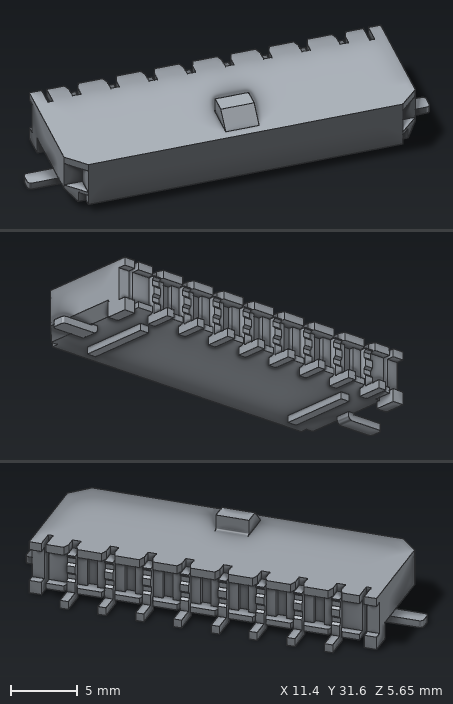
import cadquery as cq


HOUSING_DEPTH = 9.95
HOUSING_HALF_LENGTH = 13.83
HOUSING_BOTTOM = 0.65
HOUSING_TOP = 4.4
CORNER_CHAMFER = 1.45
SIDE_BEVEL = 0.82
CORNER_STEP_LENGTH = 0.6
CORNER_STEP_TOP = 1.52
CORNER_NOTCH_BOTTOM = 1.8
CORNER_NOTCH_TOP = 3.8

FOOT_DEPTH = 1.9
FOOT_BOTTOM = 0.1
FOOT_WIDTH = 0.98

LEDGE_TOP = 1.15
LIP_BOTTOM = 3.75
RECESS_DEPTH = 0.65
GROOVE_DEPTH = 0.38
GROOVE_WIDTH = 0.82

SLOT_WIDTH = 0.38
SLOT_DEPTH = 1.55
SLOT_POCKET_DEPTH = 0.15
SLOT_POCKET_BOTTOM = 2.8
SLOT_POCKET_TOP = 3.5

PIN_COUNT = 8
PIN_PITCH = 3.0
PIN_WIDTH = 0.65
PIN_REAR = 0.1
PIN_FRONT = 1.35
TAIL_TIP = -1.42
TAIL_FRONT = 0.75
TAIL_THICKNESS = 0.65
PIN_NOTCH_DEPTH = 0.2
PIN_NOTCH_RAMP = 0.2
UPPER_NOTCH = (2.85, 3.65)
LOWER_NOTCH = (1.52, 2.28)

GAP_MOUTH_WIDTH = 1.08
GAP_TAPER_DEPTH = 0.55

TAB_TIP = 15.82
TAB_CENTER_X = 5.32
TAB_WIDTH = 1.3
TAB_THICKNESS = 0.57
TAB_TIP_RADIUS = 0.32
TAB_BEND_DIAMETER = 0.8
TAB_LEG_TOP = 1.58

RAIL_START = 2.18
RAIL_LENGTH = 6.05
RAIL_WIDTH = 0.8
RAIL_CENTER_Y = 9.97

LATCH_REAR = 6.58
LATCH_FLAT_LENGTH = 1.35
LATCH_HEIGHT = 1.25
LATCH_WIDTH = 2.63
LATCH_FILLET = 0.22

FOOT_INNER_Y = HOUSING_HALF_LENGTH - FOOT_WIDTH
SLOT_INNER_Y = FOOT_INNER_Y - SLOT_WIDTH
PIN_POSITIONS = [(i - (PIN_COUNT - 1) / 2) * PIN_PITCH for i in range(PIN_COUNT)]


def block(x_range, y_range, z_range):
    """Box between two limits on each axis."""
    (x0, x1), (y0, y1), (z0, z1) = x_range, y_range, z_range
    return cq.Workplane("XY").box(x1 - x0, y1 - y0, z1 - z0, centered=False).translate((x0, y0, z0))


def both_ends(shape):
    """The shape together with its mirror image across the middle of the row."""
    return shape.union(shape.mirror("XZ"))


def xz_prism(outline, width):
    """Closed XZ outline extruded along Y, centered on Y = 0."""
    return outline.close().extrude(width / 2, both=True)


def housing_shell():
    """Block with beveled lower sides, cut front corners and two rear feet."""
    shell = block(
        (0, HOUSING_DEPTH),
        (-HOUSING_HALF_LENGTH, HOUSING_HALF_LENGTH),
        (HOUSING_BOTTOM, HOUSING_TOP),
    )
    shell = shell.faces("<Y or >Y").edges("<Z").chamfer(SIDE_BEVEL)

    corner = (
        cq.Workplane("XY")
        .moveTo(HOUSING_DEPTH, HOUSING_HALF_LENGTH)
        .lineTo(HOUSING_DEPTH - CORNER_CHAMFER, HOUSING_HALF_LENGTH)
        .lineTo(HOUSING_DEPTH, HOUSING_HALF_LENGTH - CORNER_CHAMFER)
        .close()
        .extrude(HOUSING_TOP)
    )
    corner_y = (HOUSING_HALF_LENGTH - CORNER_CHAMFER, HOUSING_HALF_LENGTH)
    corner_step = block(
        (HOUSING_DEPTH - CORNER_STEP_LENGTH, HOUSING_DEPTH),
        corner_y,
        (0, CORNER_STEP_TOP),
    )
    corner_notch = block(
        (HOUSING_DEPTH - CORNER_CHAMFER, HOUSING_DEPTH),
        corner_y,
        (CORNER_NOTCH_BOTTOM, CORNER_NOTCH_TOP),
    )
    corner_cut = corner.union(corner_step).union(corner_notch)
    foot = block(
        (0, FOOT_DEPTH),
        (FOOT_INNER_Y, HOUSING_HALF_LENGTH),
        (FOOT_BOTTOM, HOUSING_BOTTOM + SIDE_BEVEL),
    )
    return shell.cut(both_ends(corner_cut)).union(both_ends(foot))


def rear_recess():
    """Full-length recess with a deeper groove midway between neighbouring pins."""
    recess_height = (LEDGE_TOP, LIP_BOTTOM)
    recess = block((0, RECESS_DEPTH), (-HOUSING_HALF_LENGTH, HOUSING_HALF_LENGTH), recess_height)
    for y in PIN_POSITIONS[:-1]:
        middle = y + PIN_PITCH / 2
        groove_sides = (middle - GROOVE_WIDTH / 2, middle + GROOVE_WIDTH / 2)
        recess = recess.union(block((0, RECESS_DEPTH + GROOVE_DEPTH), groove_sides, recess_height))
    return recess


def end_slots():
    """Slots through the full height beside the feet, with a shallow pocket in the end wall."""
    slot = block((0, SLOT_DEPTH), (SLOT_INNER_Y, FOOT_INNER_Y), (0, HOUSING_TOP))
    pocket = block(
        (0, SLOT_DEPTH + SLOT_POCKET_DEPTH),
        (SLOT_INNER_Y, FOOT_INNER_Y),
        (SLOT_POCKET_BOTTOM, SLOT_POCKET_TOP),
    )
    return both_ends(slot.union(pocket))


def pin_gap():
    """Opening through the lip and ledge, as wide as the pin and flared at the rear."""
    return (
        cq.Workplane("XY")
        .moveTo(0, -GAP_MOUTH_WIDTH / 2)
        .lineTo(GAP_TAPER_DEPTH, -PIN_WIDTH / 2)
        .lineTo(PIN_FRONT, -PIN_WIDTH / 2)
        .lineTo(PIN_FRONT, PIN_WIDTH / 2)
        .lineTo(GAP_TAPER_DEPTH, PIN_WIDTH / 2)
        .lineTo(0, GAP_MOUTH_WIDTH / 2)
        .close()
        .extrude(HOUSING_TOP)
    )


def pin():
    """Upright pin with two notches in its rear face and a tail on the seating plane."""
    outline = (
        cq.Workplane("XZ")
        .moveTo(TAIL_TIP, 0)
        .lineTo(TAIL_FRONT, 0)
        .lineTo(TAIL_FRONT, TAIL_THICKNESS)
        .lineTo(PIN_FRONT, TAIL_THICKNESS)
        .lineTo(PIN_FRONT, LIP_BOTTOM)
        .lineTo(PIN_REAR, LIP_BOTTOM)
    )
    notch_floor = PIN_REAR + PIN_NOTCH_DEPTH
    for bottom, top in (UPPER_NOTCH, LOWER_NOTCH):
        outline = (
            outline.lineTo(PIN_REAR, top)
            .lineTo(notch_floor, top - PIN_NOTCH_RAMP)
            .lineTo(notch_floor, bottom + PIN_NOTCH_RAMP)
            .lineTo(PIN_REAR, bottom)
        )
    outline = outline.lineTo(PIN_REAR, TAIL_THICKNESS).lineTo(TAIL_TIP, TAIL_THICKNESS)
    return xz_prism(outline, PIN_WIDTH)


def solder_tabs():
    """Flat tab at each end, bent upward into the housing."""
    x_range = (TAB_CENTER_X - TAB_WIDTH / 2, TAB_CENTER_X + TAB_WIDTH / 2)
    tab = block(x_range, (SLOT_INNER_Y, TAB_TIP), (0, TAB_THICKNESS))
    tab = tab.faces(">Y").edges("|Z").fillet(TAB_TIP_RADIUS)
    leg = block(x_range, (SLOT_INNER_Y, SLOT_INNER_Y + TAB_THICKNESS), (0, TAB_LEG_TOP))
    bent_tab = tab.union(leg).faces("<Y").edges("<Z").fillet(TAB_BEND_DIAMETER / 2)
    return both_ends(bent_tab)


def standoff_rails():
    rail = block(
        (RAIL_START, RAIL_START + RAIL_LENGTH),
        (RAIL_CENTER_Y - RAIL_WIDTH / 2, RAIL_CENTER_Y + RAIL_WIDTH / 2),
        (FOOT_BOTTOM, HOUSING_BOTTOM),
    )
    return both_ends(rail)


def latch():
    """Catch with a 45 degree front ramp and a small concave fillet at its rear foot."""
    flat_end = LATCH_REAR + LATCH_FLAT_LENGTH
    outline = (
        cq.Workplane("XZ")
        .moveTo(LATCH_REAR - LATCH_FILLET, HOUSING_TOP)
        .radiusArc((LATCH_REAR, HOUSING_TOP + LATCH_FILLET), -LATCH_FILLET)
        .lineTo(LATCH_REAR, HOUSING_TOP + LATCH_HEIGHT)
        .lineTo(flat_end, HOUSING_TOP + LATCH_HEIGHT)
        .lineTo(flat_end + LATCH_HEIGHT, HOUSING_TOP)
    )
    return xz_prism(outline, LATCH_WIDTH)


body = housing_shell().cut(rear_recess()).cut(end_slots())
for y in PIN_POSITIONS:
    body = body.cut(pin_gap().translate((0, y, 0)))
for y in PIN_POSITIONS:
    body = body.union(pin().translate((0, y, 0)))

result = body.union(standoff_rails()).union(solder_tabs()).union(latch())